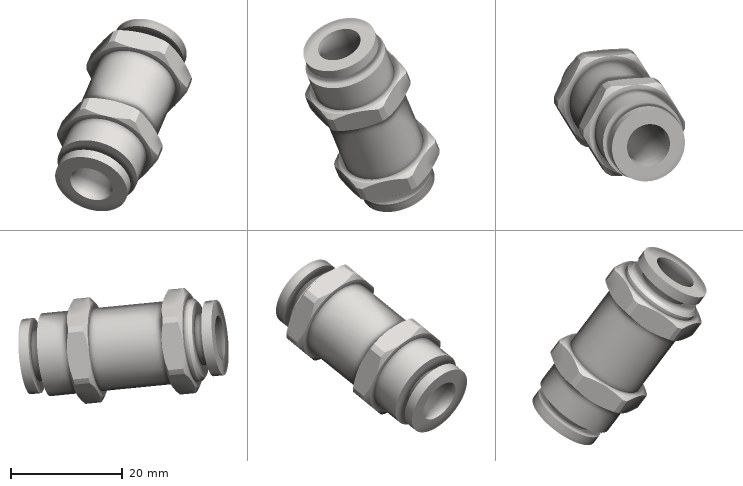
import cadquery as cq
import math

length = 35.7
bore_diameter = 8.0

flange_diameter = 13.6
flange_thickness = 1.9
neck_diameter = 9.3
neck_length = 1.7

body_diameter = 15.0
body_length = length - 2 * (flange_thickness + neck_length)
body_chamfer = 0.6

across_flats = 17.0
corner_diameter = 19.0
nut_thickness = 4.0
nut_chamfer_angle = 30.0
front_nut_offset = 5.6
rear_nut_offset = 1.4


def cylinder(diameter, start_y, height):
    """Cylinder on the Y axis, growing toward +Y from start_y."""
    plane = cq.Workplane("XZ", origin=(0, start_y, 0))
    return plane.circle(diameter / 2).extrude(-height)


def hex_nut(start_y):
    """Hexagon with flats facing +/-Z, trimmed by a double-chamfered cylinder."""
    across_corners = across_flats / math.cos(math.radians(30))
    plane = cq.Workplane("XZ", origin=(0, start_y, 0))
    hexagon = plane.polygon(6, across_corners).extrude(-nut_thickness)

    face_radius = across_flats / 2
    corner_radius = corner_diameter / 2
    chamfer_height = (corner_radius - face_radius) * math.tan(math.radians(nut_chamfer_angle))
    end_y = start_y + nut_thickness
    envelope = (
        cq.Workplane("XY")
        .moveTo(0, start_y)
        .lineTo(face_radius, start_y)
        .lineTo(corner_radius, start_y + chamfer_height)
        .lineTo(corner_radius, end_y - chamfer_height)
        .lineTo(face_radius, end_y)
        .lineTo(0, end_y)
        .close()
        .revolve(360, (0, 0, 0), (0, 1, 0))
    )
    return hexagon.intersect(envelope)


body_start = -body_length / 2
body_end = body_length / 2
body = cylinder(body_diameter, body_start, body_length)
body = body.faces(">Y").chamfer(body_chamfer)

core = cylinder(neck_diameter, -length / 2, length)
front_flange = cylinder(flange_diameter, -length / 2, flange_thickness)
rear_flange = cylinder(flange_diameter, length / 2 - flange_thickness, flange_thickness)

front_nut = hex_nut(body_start + front_nut_offset)
rear_nut = hex_nut(body_end - rear_nut_offset - nut_thickness)

result = body
for piece in (core, front_flange, rear_flange, front_nut, rear_nut):
    result = result.union(piece)

result = result.cut(cylinder(bore_diameter, -length / 2, length))